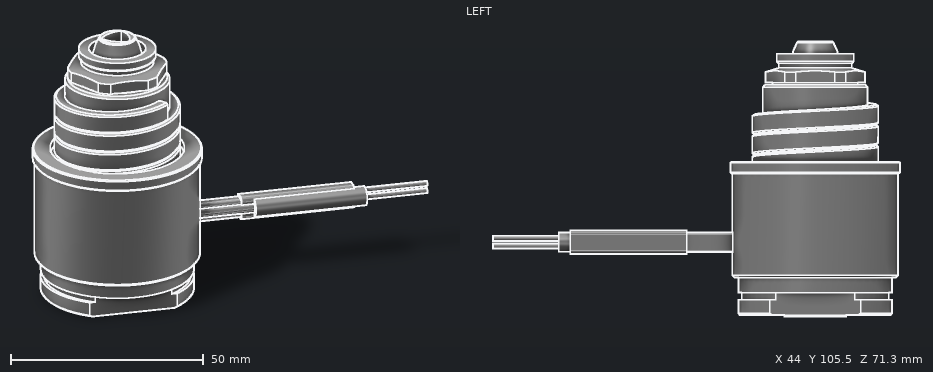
import cadquery as cq
import math

pad_height = 0.4
foot_top = 4.4
foot_groove_top = 6.2
collar_top = 10.1
lip_bottom = 37.0
body_top = 40.2
neck_top = 60.1
hex_bottom = 60.7
hex_top = 63.4
hex_cone_top = 64.5
ring_bottom = 65.6
ring_top = 68.2
nose_top = 71.3

pad_radius = 8.0
foot_radius = 19.9
foot_groove_radius = 19.1
collar_radius = foot_radius
body_radius = 21.5
lip_diameter = 44.0
lip_radius = lip_diameter / 2
neck_radius = 13.6
undercut_radius = 11.1
ring_groove_radius = 9.5
ring_radius = 10.0

foot_chamfer = 0.4
body_chamfer = 0.6
lip_top_chamfer = 0.3
lip_bottom_chamfer = 0.4
neck_chamfer = 0.6
ring_chamfer = 0.5

foot_across_flats = 32.2

hex_across_flats = 24.0
hex_corner_radius = 13.0

recess_radius = 17.4
recess_depth = 2.1

thread_radius = 16.4
thread_pitch = 5.3
thread_height = 5.1
thread_chamfer_depth = 0.5
thread_chamfer_height = 0.4
thread_end_top = 56.9
thread_end_angle = 38.0
thread_turns = 3.25
thread_root_overlap = 0.8

cup_radius = 7.4
nose_base_radius = 7.0
nose_middle_radius = 6.0
nose_shoulder_radius = 4.7
nose_tip_radius = 4.4
nose_shoulder_height = 71.0

bore_corner_radius = 4.2

cable_height = 19.3
cable_root = 15.8
strap_left = -2.8
strap_thickness = 3.1
strap_width = 5.1
strap_left_fillet = 0.4
strap_right_fillet = 0.7
core_thickness = 2.4
core_width = 2.5
core_fillet = 1.0
sleeve_radius = 2.5
sleeve_start = 36.6
sleeve_end = 66.5
clip_left = -3.5
clip_thickness = 4.0
clip_width = 6.2
clip_fillet = 1.0
clip_start = 33.2
clip_end = 63.5
wire_radius = 0.69
wire_x = -1.4
wire_spacing = 2.0
overall_length = 105.5
wire_end = overall_length - lip_radius


def disc(radius, bottom, top):
    return cq.Workplane("XY").workplane(offset=bottom).circle(radius).extrude(top - bottom)


def make_foot():
    """Round foot with two wrench flats, a groove above it and a pad below."""
    flange = disc(foot_radius, pad_height, foot_top).faces("<Z").chamfer(foot_chamfer)
    groove = disc(foot_groove_radius, foot_top, foot_groove_top)
    foot = flange.union(groove)
    flats = cq.Workplane("XY").rect(foot_across_flats, 2 * foot_radius).extrude(foot_groove_top)
    return foot.intersect(flats).union(disc(pad_radius, 0, pad_height))


def make_body():
    """Main barrel with its collar, top lip and recess around the thread."""
    collar = disc(collar_radius, foot_groove_top, collar_top)
    barrel = disc(body_radius, collar_top, lip_bottom).faces("<Z").chamfer(body_chamfer)
    lip = disc(lip_radius, lip_bottom, body_top)
    lip = lip.faces(">Z").chamfer(lip_top_chamfer).faces("<Z").chamfer(lip_bottom_chamfer)
    recess = disc(recess_radius, body_top - recess_depth, body_top)
    return collar.union(barrel).union(lip).cut(recess)


def make_neck():
    neck = disc(neck_radius, body_top - recess_depth, neck_top).faces(">Z").chamfer(neck_chamfer)
    return neck.union(disc(undercut_radius, neck_top, hex_bottom))


def make_thread():
    """Right-hand ribbon with chamfered outer edges, swept around the neck."""
    rise = thread_turns * thread_pitch
    start_bottom = thread_end_top - thread_height - rise
    start_angle = thread_end_angle - 360 * thread_turns
    root_radius = neck_radius - thread_root_overlap
    profile = (
        cq.Workplane("XZ")
        .moveTo(root_radius, 0)
        .lineTo(thread_radius - thread_chamfer_depth, 0)
        .lineTo(thread_radius, thread_chamfer_height)
        .lineTo(thread_radius, thread_height - thread_chamfer_height)
        .lineTo(thread_radius - thread_chamfer_depth, thread_height)
        .lineTo(root_radius, thread_height)
        .close()
    )
    helix = cq.Workplane(obj=cq.Wire.makeHelix(thread_pitch, rise, thread_radius))
    ribbon = profile.sweep(helix, isFrenet=True)
    return ribbon.rotate((0, 0, 0), (0, 0, 1), start_angle).translate((0, 0, start_bottom))


def make_hexagon():
    """Hexagon with rounded corners and a conical upper face."""
    blank = (
        cq.Workplane("XZ")
        .moveTo(0, hex_bottom)
        .lineTo(hex_corner_radius, hex_bottom)
        .lineTo(hex_corner_radius, hex_top)
        .lineTo(ring_groove_radius, hex_cone_top)
        .lineTo(0, hex_cone_top)
        .close()
        .revolve(360, (0, 0), (0, 1))
    )
    across_corners = hex_across_flats / math.cos(math.pi / 6)
    prism = (
        cq.Workplane("XY").workplane(offset=hex_bottom)
        .transformed(rotate=(0, 0, 30))
        .polygon(6, across_corners)
        .extrude(hex_cone_top - hex_bottom)
    )
    return blank.intersect(prism)


def make_top_ring():
    """Grooved ring, hollowed to a cup around the nose."""
    groove = disc(ring_groove_radius, hex_cone_top, ring_bottom)
    ring = disc(ring_radius, ring_bottom, ring_top).faces("<Z").chamfer(ring_chamfer)
    return groove.union(ring).cut(disc(cup_radius, hex_cone_top, ring_top))


def make_nose():
    return (
        cq.Workplane("XZ")
        .moveTo(0, hex_cone_top)
        .lineTo(nose_base_radius, hex_cone_top)
        .threePointArc((nose_middle_radius, ring_top), (nose_shoulder_radius, nose_shoulder_height))
        .lineTo(nose_tip_radius, nose_top)
        .lineTo(0, nose_top)
        .close()
        .revolve(360, (0, 0), (0, 1))
    )


def bore_point(radius, angle):
    return radius * math.cos(math.radians(angle)), radius * math.sin(math.radians(angle))


def make_bore():
    """Bow-sided triangular bore with one corner toward -Y."""
    side_radius = bore_corner_radius * math.sqrt(3)
    middle_radius = side_radius - bore_corner_radius
    outline = cq.Workplane("XY").moveTo(*bore_point(bore_corner_radius, -90))
    for middle_angle in (-30, 90, 210):
        side_middle = bore_point(middle_radius, middle_angle)
        side_end = bore_point(bore_corner_radius, middle_angle + 60)
        outline = outline.threePointArc(side_middle, side_end)
    return outline.close().extrude(nose_top)


def rounded_bar(left, thickness, width, start, end, left_fillet, right_fillet):
    """Bar along +Y, centred on the cable height, with rounded long edges."""
    bar = cq.Workplane("XY").box(thickness, end - start, width, centered=(False, False, True))
    bar = bar.edges("|Y and <X").fillet(left_fillet)
    bar = bar.edges("|Y and >X").fillet(right_fillet)
    return bar.translate((left, start, cable_height))


def rod(radius, x, z, start, end):
    """Round rod along +Y."""
    return cq.Workplane("XZ", origin=(x, start, z)).circle(radius).extrude(start - end)


def make_cable():
    """Flat strap and inner core, held by a clip and a round sleeve, ending in two wires."""
    strap = rounded_bar(
        strap_left, strap_thickness, strap_width, cable_root, clip_end, strap_left_fillet, strap_right_fillet
    )
    clip = rounded_bar(
        clip_left, clip_thickness, clip_width, clip_start, clip_end, clip_fillet, clip_fillet
    )
    core = rounded_bar(
        -core_thickness / 2, core_thickness, core_width, cable_root, sleeve_end, core_fillet, core_fillet
    )
    sleeve = rod(sleeve_radius, 0, cable_height, sleeve_start, sleeve_end)
    cable = strap.union(clip).union(core).union(sleeve)
    for side in (-1, 1):
        wire_z = cable_height + side * wire_spacing / 2
        cable = cable.union(rod(wire_radius, wire_x, wire_z, clip_end, wire_end))
    return cable


result = (
    make_foot()
    .union(make_body())
    .union(make_neck())
    .union(make_thread())
    .union(make_hexagon())
    .union(make_top_ring())
    .union(make_nose())
    .union(make_cable())
    .cut(make_bore())
)